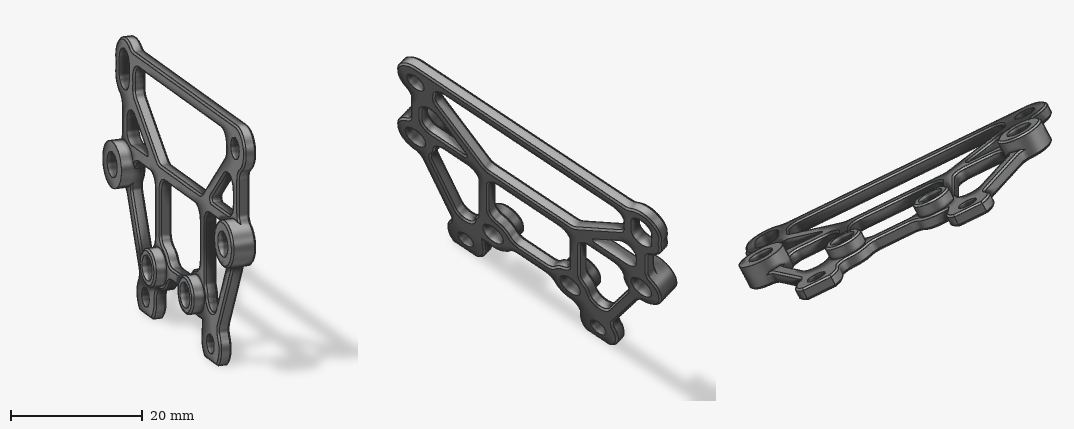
import cadquery as cq
import math

plate_thickness = 2.0
boss_height = 4.0
rib_width = 2.0
lobe_radius = 3.7
corner_radius = 2.0
tip_radius = 0.5
edge_chamfer = 0.3
boss_overhang = 0.05

main_bore = 4.0
main_boss_diameter = 2 * lobe_radius
small_boss_diameter = 6.0
top_hole_diameter = 3.4
tab_hole_diameter = 3.0

tab_z = 2.8
small_boss_z = 9.25
main_boss_z = 21.7
cross_rib_z = 24.4
top_hole_z = 36.65
slot_travel = 2.5

left_x = lobe_radius
right_x = 51.2 - lobe_radius
left_boss = (left_x, main_boss_z)
right_boss = (right_x, main_boss_z)
top_hole = (right_x, top_hole_z)
slot_low = (left_x, top_hole_z - slot_travel / 2)
slot_high = (left_x, top_hole_z + slot_travel / 2)
left_small_boss = (17.5, small_boss_z)
right_small_boss = (32.45, small_boss_z)
left_tab = (12.1, tab_z)
right_tab = (37.8, tab_z)
small_bosses = [left_small_boss, right_small_boss]
tabs = [left_tab, right_tab]

post_offset = 8.85
left_post_x = 25.6 - post_offset
right_post_x = 25.6 + post_offset
left_joint = (left_post_x, cross_rib_z)
right_joint = (right_post_x, cross_rib_z)
left_corner = (left_x, cross_rib_z)
right_corner = (right_x, cross_rib_z)
top_rib_z = top_hole_z + lobe_radius - rib_width / 2

notch_side_lean = 0.25
notch_top_z = 5.65


def plane():
    return cq.Workplane("XZ")


def disc(center, diameter, height=plate_thickness):
    return plane().center(*center).circle(diameter / 2).extrude(height)


def rib(start, end):
    """Straight rib of square-ended outline between two nodes."""
    run = end[0] - start[0]
    rise = end[1] - start[1]
    middle = ((start[0] + end[0]) / 2, (start[1] + end[1]) / 2)
    outline = plane().center(*middle).transformed(rotate=(0, 0, math.degrees(math.atan2(rise, run))))
    return outline.rect(math.hypot(run, rise), rib_width).extrude(plate_thickness)


def prism(points):
    return plane().polyline(points).close().extrude(plate_thickness)


def wire_prism(wire):
    return plane().add(wire).toPending().extrude(plate_thickness)


def raw_frame():
    """Lobes and ribs with sharp inside corners; the two side triangles are still solid."""
    frame = prism([left_corner, slot_low, left_joint])
    frame = frame.union(prism([right_corner, top_hole, right_joint]))
    ribs = [
        ((left_x, top_rib_z), (right_x, top_rib_z)),
        (left_corner, right_corner),
        (left_boss, slot_high),
        (right_boss, top_hole),
        (slot_low, left_joint),
        (top_hole, right_joint),
        (left_joint, (left_post_x, small_boss_z)),
        (right_joint, (right_post_x, small_boss_z)),
        (left_small_boss, right_small_boss),
        (left_boss, left_tab),
        (right_boss, right_tab),
        (left_tab, left_small_boss),
        (right_tab, right_small_boss),
    ]
    for start, end in ribs:
        frame = frame.union(rib(start, end))
    for center in [slot_low, slot_high, top_hole] + small_bosses + tabs:
        frame = frame.union(disc(center, 2 * lobe_radius))
    for center in [left_boss, right_boss]:
        frame = frame.union(disc(center, main_boss_diameter - 2 * boss_overhang))
    return frame


def round_inside_corners(frame):
    """Offset the outline out and back, and each window in and back, to round the inside corners."""
    face = frame.faces(">Y").val()
    outline = face.outerWire().offset2D(corner_radius)[0].offset2D(-corner_radius)[0]
    rounded = wire_prism(outline)
    for window in face.innerWires():
        opening = window.offset2D(-corner_radius)[0].offset2D(corner_radius)[0]
        rounded = rounded.cut(wire_prism(opening))
    return rounded


def triangle_window(corner, top, tip):
    """Window half a rib inside the triangle of nodes, with a tight radius at the tip."""
    window = plane().polyline([corner, top, tip]).close().offset2D(-rib_width / 2, "intersection")
    window = window.extrude(plate_thickness)
    side = ">X" if tip[0] > corner[0] else "<X"
    window = window.edges("|Y").edges(side).fillet(tip_radius)
    far = "<X" if tip[0] > corner[0] else ">X"
    return window.edges("|Y").edges(far).fillet(corner_radius)


def notch():
    """Sharp-cornered space under the right small boss, along the leaning side of the right tab."""
    start_x = right_small_boss[0] - rib_width
    tab_side_x = right_tab[0] - lobe_radius
    block = prism([
        (start_x, tab_z),
        (tab_side_x, tab_z),
        (tab_side_x + notch_side_lean, notch_top_z),
        (start_x, notch_top_z),
    ])
    return block.cut(disc(right_small_boss, 2 * lobe_radius))


def below_plate():
    return plane().center(25.6, -lobe_radius / 2).rect(51.2, lobe_radius).extrude(plate_thickness)


plate = round_inside_corners(raw_frame())
plate = plate.cut(notch())
plate = plate.cut(below_plate())
plate = plate.cut(triangle_window(right_corner, top_hole, right_joint))
plate = plate.faces("<Y or >Y").edges().chamfer(edge_chamfer)

plate = plate.cut(triangle_window(left_corner, slot_low, left_joint))
slot_center = (left_x, top_hole_z)
slot = plane().center(*slot_center).slot2D(slot_travel + main_bore, main_bore, 90).extrude(plate_thickness)
plate = plate.cut(slot)

left_post = disc(left_boss, main_boss_diameter, boss_height).faces(">Y").chamfer(edge_chamfer)
right_post = disc(right_boss, main_boss_diameter, boss_height).faces("<Y or >Y").chamfer(edge_chamfer)
result = plate.union(left_post).union(right_post)
for center in small_bosses:
    result = result.union(disc(center, small_boss_diameter, boss_height).faces("<Y").chamfer(edge_chamfer))

for center in [left_boss, right_boss] + small_bosses:
    result = result.cut(disc(center, main_bore, boss_height))
for center in tabs:
    result = result.cut(disc(center, tab_hole_diameter))
result = result.cut(disc(top_hole, top_hole_diameter))